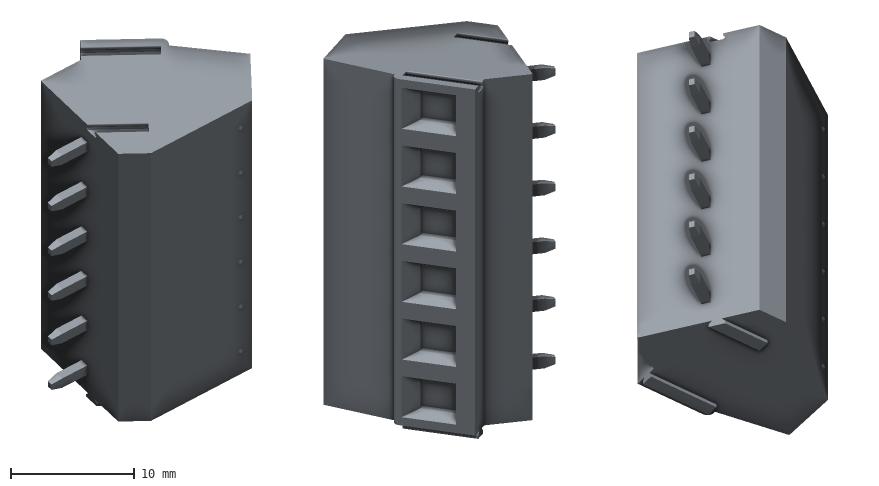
import cadquery as cq
import math


POLE_COUNT = 6
BODY_HEIGHT = 30.5
POLE_PITCH = BODY_HEIGHT / POLE_COUNT
POLE_LEVELS = [(i + 0.5) * POLE_PITCH for i in range(POLE_COUNT)]

BODY_WIDTH = 12.05
APEX_X = 7.65
APEX_Y = 15.5
TILT = math.radians(55)
CHAMFER_RISE = 2.18
FLANGE_REACH = 1.85
FLANGE_TIP_Y = 5.38
FLANGE_LENGTH = 6.53
FLANGE_ROUND = 0.65

FUNNEL_CENTER = 3.98
FUNNEL_LENGTH = 4.65
FUNNEL_HEIGHT = 3.6
FUNNEL_DEPTH = 1.05
FUNNEL_SIDE_INSET = 0.53
FUNNEL_TOP_INSET = 1.18
SOCKET_DEPTH = 0.55

PIN_X = 5.95
PIN_WIDTH = 0.78
PIN_HEIGHT = 1.05
PIN_LENGTH = 3.5
PIN_TIP_LENGTH = 0.95
PIN_TIP_WIDTH = 0.5
PIN_TIP_HEIGHT = 0.62
POINT_Y = 11.22
POINT_DIAMETER = 0.62
POINT_LENGTH = 0.2

FLANGE_RAIL_INSET = 1.35
PIN_RAIL_X = 6.87
PIN_RAIL_LENGTH = 4.65
RAIL_OVERRUN = 1.85
RAIL_WIDTH = 1.15
TAB_NECK_WIDTH = 0.68
TAB_FLARE = 0.3
TAB_HEIGHT = 0.6
GROOVE_NECK_WIDTH = 0.87
GROOVE_FLOOR_WIDTH = 0.93
GROOVE_LIP_ROUND = 0.1
GROOVE_NECK_DEPTH = 0.22
GROOVE_WIDEST_DEPTH = 0.45
GROOVE_DEPTH = 0.62

ALONG = (math.cos(TILT), math.sin(TILT))
INWARD = (math.sin(TILT), -math.cos(TILT))
FLANGE_TIP = (-FLANGE_REACH, FLANGE_TIP_Y)


def move(point, direction, distance):
    return (point[0] + direction[0] * distance, point[1] + direction[1] * distance)


def housing_prism(bottom, top):
    """The housing outline extruded between two levels."""
    flange_foot_y = FLANGE_TIP_Y - FLANGE_REACH / math.tan(TILT)
    chamfer_run = CHAMFER_RISE / math.tan(TILT)
    shoulder_y = APEX_Y - (BODY_WIDTH - APEX_X) / math.tan(TILT)

    round_start = move(FLANGE_TIP, ALONG, FLANGE_LENGTH)
    center = move(round_start, INWARD, FLANGE_ROUND)
    slope_offset = APEX_Y - APEX_X + center[0] - center[1]
    half_chord = math.sqrt(2 * FLANGE_ROUND**2 - slope_offset**2)
    end_x = (half_chord - slope_offset) / 2
    round_end = (center[0] + end_x, center[1] + end_x + slope_offset)
    round_top = (center[0], center[1] + FLANGE_ROUND)

    return (
        cq.Workplane("XY")
        .workplane(offset=bottom)
        .moveTo(0, 0)
        .lineTo(BODY_WIDTH - chamfer_run, 0)
        .lineTo(BODY_WIDTH, CHAMFER_RISE)
        .lineTo(BODY_WIDTH, shoulder_y)
        .lineTo(APEX_X, APEX_Y)
        .lineTo(*round_end)
        .threePointArc(round_top, round_start)
        .lineTo(*FLANGE_TIP)
        .lineTo(0, flange_foot_y)
        .close()
        .extrude(top - bottom)
    )


def rail_plane(start, level):
    """Plane across a rail before its open end: X points inward, Y points down from the level."""
    origin = (*move(start, ALONG, -RAIL_OVERRUN), level)
    return cq.Plane(origin=origin, xDir=(*INWARD, 0), normal=(*ALONG, 0))


def tab(start, length):
    """Dovetail tab hanging from the bottom of the housing."""
    profile = (
        cq.Workplane(rail_plane(start, 0))
        .moveTo(-TAB_NECK_WIDTH / 2, 0)
        .lineTo(-RAIL_WIDTH / 2, TAB_FLARE)
        .lineTo(-RAIL_WIDTH / 2, TAB_HEIGHT)
        .lineTo(RAIL_WIDTH / 2, TAB_HEIGHT)
        .lineTo(RAIL_WIDTH / 2, TAB_FLARE)
        .lineTo(TAB_NECK_WIDTH / 2, 0)
        .close()
    )
    return profile.extrude(length + RAIL_OVERRUN)


def groove(start, length):
    """Undercut groove in the top of the housing, with rounded lips."""
    neck = GROOVE_NECK_WIDTH / 2
    mouth = neck + GROOVE_LIP_ROUND
    arc_inset = GROOVE_LIP_ROUND * (1 - math.sqrt(0.5))
    profile = (
        cq.Workplane(rail_plane(start, BODY_HEIGHT))
        .moveTo(-mouth, 0)
        .threePointArc((-neck - arc_inset, arc_inset), (-neck, GROOVE_LIP_ROUND))
        .lineTo(-neck, GROOVE_NECK_DEPTH)
        .lineTo(-RAIL_WIDTH / 2, GROOVE_WIDEST_DEPTH)
        .lineTo(-GROOVE_FLOOR_WIDTH / 2, GROOVE_DEPTH)
        .lineTo(GROOVE_FLOOR_WIDTH / 2, GROOVE_DEPTH)
        .lineTo(RAIL_WIDTH / 2, GROOVE_WIDEST_DEPTH)
        .lineTo(neck, GROOVE_NECK_DEPTH)
        .lineTo(neck, GROOVE_LIP_ROUND)
        .threePointArc((neck + arc_inset, arc_inset), (mouth, 0))
        .close()
    )
    return profile.extrude(length + RAIL_OVERRUN)


def wire_funnel(level):
    """Tapered wire entry square to the flange face, ending in a short straight socket."""
    mouth = move(FLANGE_TIP, ALONG, FUNNEL_CENTER)
    plane = cq.Plane(origin=(*mouth, level), xDir=(*ALONG, 0), normal=(*INWARD, 0))
    throat_shift = -FUNNEL_TOP_INSET / 2
    throat_length = FUNNEL_LENGTH - FUNNEL_TOP_INSET
    throat_height = FUNNEL_HEIGHT - 2 * FUNNEL_SIDE_INSET
    taper = (
        cq.Workplane(plane)
        .rect(FUNNEL_LENGTH, FUNNEL_HEIGHT)
        .workplane(offset=FUNNEL_DEPTH)
        .center(throat_shift, 0)
        .rect(throat_length, throat_height)
        .loft(ruled=True)
    )
    socket = (
        cq.Workplane(plane)
        .workplane(offset=FUNNEL_DEPTH)
        .center(throat_shift, 0)
        .rect(throat_length, throat_height)
        .extrude(SOCKET_DEPTH)
    )
    return taper.union(socket)


def solder_pin(level):
    """Rectangular pin along -Y with a tapered tip."""
    plane = cq.Plane(origin=(PIN_X, 0, level), xDir=(1, 0, 0), normal=(0, -1, 0))
    shank_length = PIN_LENGTH - PIN_TIP_LENGTH
    shank = cq.Workplane(plane).rect(PIN_WIDTH, PIN_HEIGHT).extrude(shank_length)
    tip = (
        cq.Workplane(plane)
        .workplane(offset=shank_length)
        .rect(PIN_WIDTH, PIN_HEIGHT)
        .workplane(offset=PIN_TIP_LENGTH)
        .rect(PIN_TIP_WIDTH, PIN_TIP_HEIGHT)
        .loft(ruled=True)
    )
    return shank.union(tip)


def side_point(level):
    """Small cone standing out of the right wall."""
    cone = cq.Solid.makeCone(
        POINT_DIAMETER / 2,
        0,
        POINT_LENGTH,
        pnt=cq.Vector(BODY_WIDTH, POINT_Y, level),
        dir=cq.Vector(1, 0, 0),
    )
    return cq.Workplane(cone)


rail_lines = [
    (move(FLANGE_TIP, INWARD, FLANGE_RAIL_INSET), FLANGE_LENGTH),
    ((PIN_RAIL_X, 0), PIN_RAIL_LENGTH),
]

result = housing_prism(0, BODY_HEIGHT)
tab_layer = housing_prism(-TAB_HEIGHT, 0)
for rail_start, rail_length in rail_lines:
    result = result.cut(groove(rail_start, rail_length))
    result = result.union(tab(rail_start, rail_length).intersect(tab_layer))

for pole_level in POLE_LEVELS:
    result = result.cut(wire_funnel(pole_level))
    result = result.union(solder_pin(pole_level))
    result = result.union(side_point(pole_level))